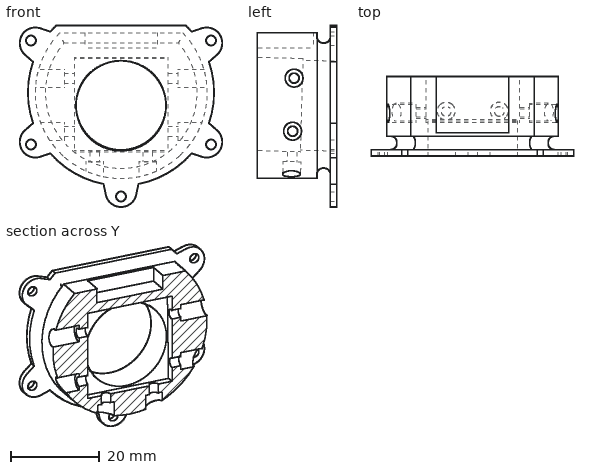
import cadquery as cq
import math

total_depth = 18.0
plate_thickness = 1.5
neck_length = 2.95
body_front = plate_thickness + neck_length

plate_radius = 21
plate_top = 15.1
body_radius = 19.35
body_top = 13.48
neck_radius = 17.1
neck_top = 11.2
neck_fillet = 1.32

part_width = 45.7
side_lug_angle = 30
bottom_lug_angle = 270
lug_angles = [
    side_lug_angle,
    180 - side_lug_angle,
    180 + side_lug_angle,
    bottom_lug_angle,
    360 - side_lug_angle,
]
lug_center_radius = 22.3
lug_end_radius = part_width / 2 - lug_center_radius * math.cos(math.radians(side_lug_angle))
lug_taper = 11.5
lug_root = 16.45
lug_hole_radius = 23.45
screw_hole_diameter = 2.2

tilt = 1.6
axis_z = -3.0
bore_diameter = 20.3
bore_depth = 8.0
cavity_width = 21
end_overrun = 4.55

screw_y = 9.8
screw_offset = 6.0
head_diameter = 4.0
seat_thickness = 2.3
screw_seat = cavity_width / 2 + seat_thickness
screw_reach = 27.4

pocket_width = 16.45
pocket_front = 5.3
pocket_floor = 10.1


def flat_topped_disc(radius, top, y_start, length):
    """Disc along Y whose upper part is cut off by a horizontal flat."""
    half_flat = math.sqrt(radius**2 - top**2)
    return (
        cq.Workplane("XZ", origin=(0, y_start, 0))
        .moveTo(-half_flat, top)
        .threePointArc((0, -radius), (half_flat, top))
        .close()
        .extrude(-length)
    )


def lug():
    """Tapered lug with a round end, pointing along +X."""
    taper = math.radians(lug_taper)
    tangent_x = lug_center_radius + lug_end_radius * math.sin(taper)
    tangent_z = lug_end_radius * math.cos(taper)
    root_z = tangent_z + (tangent_x - lug_root) * math.tan(taper)
    tip_x = lug_center_radius + lug_end_radius
    return (
        cq.Workplane("XZ")
        .moveTo(lug_root, -root_z)
        .lineTo(tangent_x, -tangent_z)
        .threePointArc((tip_x, 0), (tangent_x, tangent_z))
        .lineTo(lug_root, root_z)
        .close()
        .extrude(-plate_thickness)
    )


def lug_hole():
    return (
        cq.Workplane("XZ")
        .center(lug_hole_radius, 0)
        .circle(screw_hole_diameter / 2)
        .extrude(-plate_thickness)
    )


def mounting_plate():
    plate = flat_topped_disc(plate_radius, plate_top, 0, plate_thickness)
    for angle in lug_angles:
        plate = plate.union(lug().rotate((0, 0, 0), (0, 1, 0), -angle))
    for angle in lug_angles:
        plate = plate.cut(lug_hole().rotate((0, 0, 0), (0, 1, 0), -angle))
    return plate


def screw_cutter():
    """Stepped screw hole pointing outward along +Z from the cavity axis."""
    shank = cq.Workplane("XY").circle(screw_hole_diameter / 2).extrude(screw_reach)
    head = (
        cq.Workplane("XY", origin=(0, 0, screw_seat))
        .circle(head_diameter / 2)
        .extrude(screw_reach - screw_seat)
    )
    return shank.union(head)


def tilted_cutters():
    """Bore, cavity and screw holes, made along Y and then tilted together."""
    bore = (
        cq.Workplane("XZ", origin=(0, -end_overrun, 0))
        .circle(bore_diameter / 2)
        .extrude(-(bore_depth + end_overrun))
    )
    cavity = (
        cq.Workplane("XZ", origin=(0, bore_depth, 0))
        .rect(cavity_width, cavity_width)
        .extrude(-(total_depth - bore_depth + end_overrun))
    )
    cutters = bore.union(cavity)
    for wall_angle in (-90, 90, 180):
        for offset in (-screw_offset, screw_offset):
            screw = screw_cutter().translate((offset, screw_y, 0))
            cutters = cutters.union(screw.rotate((0, 0, 0), (0, 1, 0), wall_angle))
    return cutters.rotate((0, 0, 0), (1, 0, 0), tilt).translate((0, 0, axis_z))


def grooved_spool():
    """Plate, neck and body in one piece, with the groove around the neck rounded."""
    neck = flat_topped_disc(neck_radius, neck_top, plate_thickness, neck_length)
    body = flat_topped_disc(body_radius, body_top, body_front, total_depth - body_front)
    spool = mounting_plate().union(neck).union(body)

    margin = 0.05
    reach = neck_radius + margin
    groove = cq.selectors.BoxSelector(
        (-reach, plate_thickness - margin, -reach),
        (reach, body_front + margin, neck_top + margin),
        boundingbox=True,
    )
    return spool.edges(groove).edges("not |Y").fillet(neck_fillet)


def body_pocket():
    """Pocket that is open at the top and at the back of the body."""
    length = total_depth - pocket_front
    return cq.Workplane("XY").box(
        pocket_width, length, body_top - pocket_floor, centered=(True, False, False)
    ).translate((0, pocket_front, pocket_floor))


result = grooved_spool().cut(body_pocket()).cut(tilted_cutters())